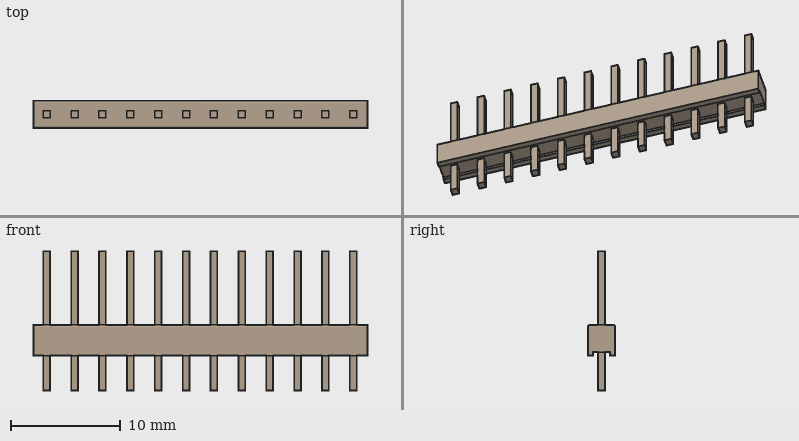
import cadquery as cq

length = 30.48
depth = 2.5
housing_height = 2.8
top_radius = 0.2
foot_width = 0.5
channel_depth = 0.3

pin_count = 12
pin_pitch = length / pin_count
pin_width = 0.65
pin_length = 12.7
pin_tail = 3.2
pin_row_offset = -0.05


def make_housing():
    """Bar resting on Z = 0 with both long top edges rounded and a full-length channel below."""
    bar = cq.Workplane("XY").box(length, depth, housing_height, centered=(True, True, False))
    bar = bar.faces(">Z").edges("|X").fillet(top_radius)
    channel_width = depth - 2 * foot_width
    channel = cq.Workplane("XY").box(length, channel_width, channel_depth, centered=(True, True, False))
    return bar.cut(channel)


def make_pins():
    """Evenly spaced row of square pins along X."""
    return (
        cq.Workplane("XY")
        .workplane(offset=-pin_tail)
        .center(pin_row_offset, 0)
        .rarray(pin_pitch, 0.3, pin_count, 1)
        .rect(pin_width, pin_width)
        .extrude(pin_length)
    )


result = make_housing().union(make_pins())